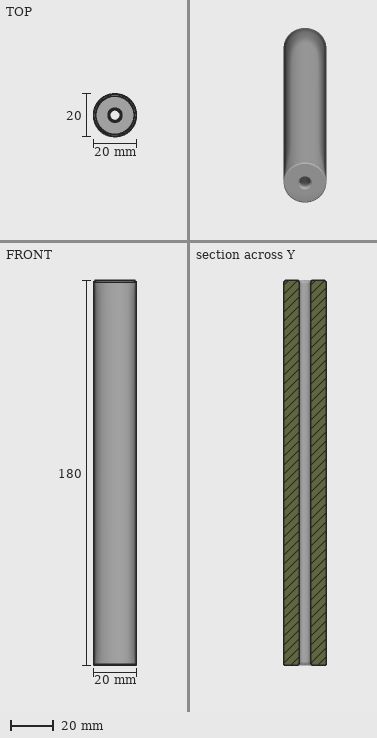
import cadquery as cq

length = 180.0
diameter = 20.0
top_chamfer = 1.0
bottom_chamfer = top_chamfer / 2

bore_diameter = 5.0
countersink_depth = 1.3
countersink_width = 0.7

rod = cq.Workplane("XY").circle(diameter / 2).extrude(length)
rod = rod.faces(">Z").chamfer(top_chamfer)
rod = rod.faces("<Z").chamfer(bottom_chamfer)

bore = cq.Workplane("XY").circle(bore_diameter / 2).extrude(length)
result = rod.cut(bore)

bore_mouths = cq.selectors.RadiusNthSelector(0)
result = result.faces("<Z or >Z").edges(bore_mouths).chamfer(countersink_width, countersink_depth)